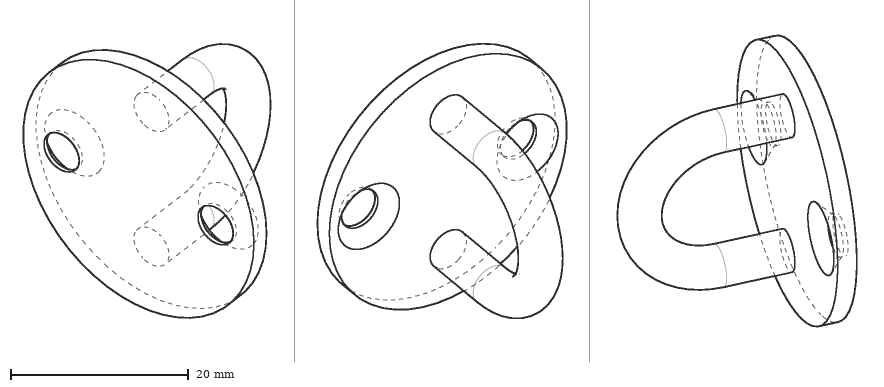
import cadquery as cq
import math

plate_diameter = 33.0
plate_thickness = 2.3

hole_diameter = 5.0
hole_spacing = 22.0
straight_depth = 0.55
countersink_angle = 90.0
countersink_depth = plate_thickness - straight_depth
half_angle = math.radians(countersink_angle / 2)
countersink_diameter = hole_diameter + 2 * countersink_depth * math.tan(half_angle)

overall_depth = 22.5
bar_diameter = 5.0
loop_outer_width = 24.0

bend_radius = (loop_outer_width - bar_diameter) / 2
bend_start = overall_depth - loop_outer_width / 2
bend_tip = bend_start + bend_radius
bar_root = plate_thickness / 2


def make_screw_hole(x_position):
    profile = (
        cq.Workplane("XY")
        .lineTo(hole_diameter / 2, 0)
        .lineTo(hole_diameter / 2, straight_depth)
        .lineTo(countersink_diameter / 2, plate_thickness)
        .lineTo(0, plate_thickness)
        .close()
    )
    return profile.revolve(360, (0, 0, 0), (0, 1, 0)).translate((x_position, 0, 0))


def make_plate():
    plate = cq.Workplane("XZ").circle(plate_diameter / 2).extrude(-plate_thickness)
    for side in (-1, 1):
        plate = plate.cut(make_screw_hole(side * hole_spacing / 2))
    return plate


def make_loop():
    centre_line = (
        cq.Workplane("YZ")
        .moveTo(bar_root, -bend_radius)
        .lineTo(bend_start, -bend_radius)
        .threePointArc((bend_tip, 0), (bend_start, bend_radius))
        .lineTo(bar_root, bend_radius)
    )
    bar_end = cq.Workplane("XZ", origin=(0, bar_root, -bend_radius)).circle(bar_diameter / 2)
    return bar_end.sweep(centre_line)


result = make_plate().union(make_loop())